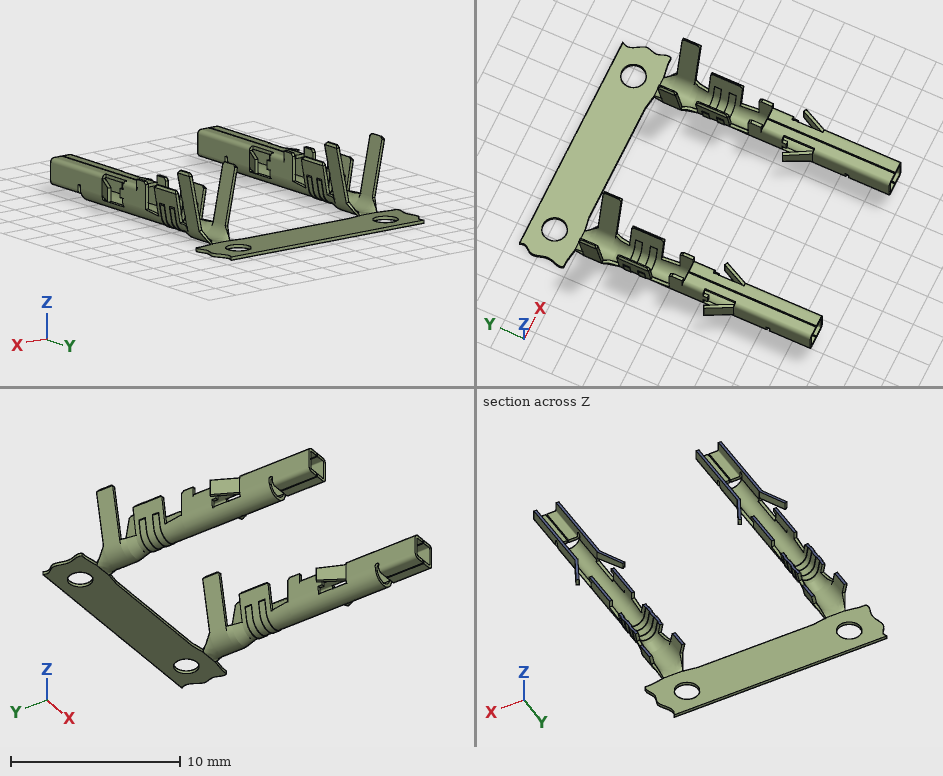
import cadquery as cq
import math


sheet = 0.2
pitch = 11.0
strip_width = 3.01
neck_half = 0.65
neck_station = 3.16
bulge_half = 1.58
pilot_diameter = 1.5
pilot_station = strip_width / 2
left_tear = [
    (-1.97, strip_width), (-2.03, 2.75), (-1.88, 2.23), (-1.85, 1.79),
    (-1.97, 1.28), (-1.97, 0.85), (-1.7, 0.46), (-1.71, 0),
]
right_tear = [
    (1.71, 0), (1.6, 0.55), (1.9, 1.12), (2.0, 1.4),
    (1.86, 2.12), (2.05, 2.75), (2.0, strip_width),
]

box_half = 0.85
insulation_cradle = (1.1, 0, 11.8)
pinch_cradle = (0.91, 0, 0)
conductor_cradle = (0.84, 0.2, 10.0)
box_cradle = (box_half, 0.2, 0)

insulation_start = 3.92
insulation_end = 5.1
insulation_top = 4.5
pinch_station = 5.47
conductor_start = 6.1
conductor_end = 8.18
conductor_top = 2.88
wing_corner = 0.15
wing_bevel = 0.13

serration_starts = (6.44, 7.4)
serration_width = 0.45
serration_depth = 0.04
serration_top = 1.79
serration_ramp = 0.07

box_start = 9.4
box_end = 18.6
box_top = 2.32
box_corner = 0.28
box_floor = 0.67
bore_half = box_half - sheet
trough_axis = box_cradle[1] + box_half
trough_end = 15.72
seam_width = 0.07
ear_end = 10.25
ear_top = 2.73
ear_chamfer = 0.17
notch_width = 0.25
notch_top = 1.26

window_start = 11.6
window_end = 13.6
window_bottom = 0.76
roof_half = box_half - box_corner
lance_length = 1.77
lance_overlap = 0.1
lance_angle = 27.0
lance_bottom = 1.02
lance_top = 2.06
lance_taper = 0.1
stop_length = 0.28
stop_bottom = 1.28
stop_top = 1.85


def section_plane(station):
    """Cross-section plane: local x is X, local y is Z, extrusion runs forward."""
    return cq.Workplane("XZ", origin=(0, -station, 0))


def block(half_width, bottom, top, start, end):
    middle = (bottom + top) / 2
    return section_plane(start).center(0, middle).rect(2 * half_width, top - bottom).extrude(end - start)


def both_sides(solid):
    return solid.union(solid.mirror("YZ"))


def tangent_point(radius, axis, lean):
    """Point on the +X side where an arc about (0, axis) runs into a leaning wall."""
    return radius * math.cos(lean), axis - radius * math.sin(lean)


def mirrored_x(point):
    return -point[0], point[1]


def cradle_ends(shape):
    """Outer and inner ends of a cradle arc on the +X side."""
    radius, bottom, flare = shape
    lean = math.radians(flare)
    axis = bottom + radius
    return tangent_point(radius, axis, lean), tangent_point(radius - sheet, axis, lean)


def cradle_wire(work, shape):
    bottom = shape[1]
    outer, inner = cradle_ends(shape)
    return (
        work.moveTo(*mirrored_x(outer))
        .threePointArc((0, bottom), outer)
        .lineTo(*inner)
        .threePointArc((0, bottom + sheet), mirrored_x(inner))
        .close()
    )


def cradle(start, end, shape):
    return cradle_wire(section_plane(start), shape).extrude(end - start)


def cradle_transition(start, end, start_shape, end_shape):
    work = cradle_wire(section_plane(start), start_shape).workplane(offset=end - start)
    return cradle_wire(work, end_shape).loft(ruled=True)


def neck():
    """Blend from the flat strip into the insulation cradle."""
    flat = section_plane(neck_station).center(0, sheet / 2).rect(2 * neck_half, sheet)
    work = flat.workplane(offset=insulation_start - neck_station).center(0, -sheet / 2)
    return cradle_wire(work, insulation_cradle).loft(ruled=True)


def crimp_wings(start, end, shape, top):
    """Pair of leaning wings with cut corners and a beveled outer tip."""
    lean = math.radians(shape[2])
    outer, inner = cradle_ends(shape)
    length = (top - inner[1]) / math.cos(lean)
    face = cq.Plane(
        origin=(outer[0], 0, outer[1]),
        xDir=(0, -1, 0),
        normal=(-math.cos(lean), 0, math.sin(lean)),
    )
    wing = (
        cq.Workplane(face)
        .moveTo(start, 0)
        .lineTo(end, 0)
        .lineTo(end, length - wing_corner)
        .lineTo(end - wing_corner, length)
        .lineTo(start + wing_corner, length)
        .lineTo(start, length - wing_corner)
        .close()
        .extrude(sheet)
    )
    outer_tip = face.toWorldCoords(((start + end) / 2, length, 0)).toTuple()
    wing = wing.edges(cq.selectors.NearestToPointSelector(outer_tip)).chamfer(wing_bevel)
    return both_sides(wing)


def serration_band(start, surface_radius):
    """U-shaped band reaching one serration depth to each side of a crimp surface."""
    radius, bottom, flare = conductor_cradle
    lean = math.radians(flare)
    axis = bottom + radius
    outer_radius = surface_radius + serration_depth
    inner_radius = surface_radius - serration_depth
    outer = tangent_point(outer_radius, axis, lean)
    inner = tangent_point(inner_radius, axis, lean)

    def tip(base, height):
        return base[0] + (height - base[1]) * math.tan(lean), height

    outer_tip = tip(outer, serration_top - serration_ramp)
    inner_tip = tip(inner, serration_top + serration_ramp)
    return (
        section_plane(start)
        .moveTo(*mirrored_x(outer_tip))
        .lineTo(*mirrored_x(outer))
        .threePointArc((0, axis - outer_radius), outer)
        .lineTo(*outer_tip)
        .lineTo(*inner_tip)
        .lineTo(*inner)
        .threePointArc((0, axis - inner_radius), mirrored_x(inner))
        .lineTo(*mirrored_x(inner_tip))
        .close()
        .extrude(serration_width)
    )


def insulation_crimp():
    crimp = cradle(insulation_start, insulation_end, insulation_cradle)
    return crimp.union(crimp_wings(insulation_start, insulation_end, insulation_cradle, insulation_top))


def conductor_crimp():
    crimp = cradle(conductor_start, conductor_end, conductor_cradle)
    crimp = crimp.union(crimp_wings(conductor_start, conductor_end, conductor_cradle, conductor_top))
    outer_radius = conductor_cradle[0]
    for start in serration_starts:
        crimp = crimp.union(serration_band(start, outer_radius))
        crimp = crimp.cut(serration_band(start, outer_radius - sheet))
    return crimp


def box_entry():
    """Open trough behind the roof, with side walls rising into two ears."""
    length = ear_end - box_start
    trough = cradle(box_start, ear_end, box_cradle)
    ear = (
        section_plane(box_start)
        .center(box_half - sheet / 2, (trough_axis + ear_top) / 2)
        .rect(sheet, ear_top - trough_axis)
        .extrude(length)
        .edges(">Y and >Z")
        .chamfer(ear_chamfer)
    )
    return trough.union(both_sides(ear))


def box_shell():
    """Roofed box: a round trough below, changing to a flat floor at the mating end."""
    outside = block(box_half, box_floor, box_top, ear_end, box_end).edges("|Y").fillet(box_corner)
    bore = block(bore_half, box_floor + sheet, box_top - sheet, ear_end, box_end)
    bore = bore.edges("|Y").fillet(box_corner - sheet)
    below_axis = block(2 * box_half, 0, trough_axis, ear_end, trough_end)
    shell = outside.cut(below_axis).union(cradle(ear_end, trough_end, box_cradle)).cut(bore)

    roof_seam = block(seam_width / 2, box_top - 2 * sheet, box_top, ear_end, box_end)
    floor_seam = block(seam_width / 2, box_floor, box_floor + 2 * sheet, trough_end, box_end)
    return shell.cut(roof_seam).cut(floor_seam).cut(relief_notch())


def relief_notch():
    """Round-topped notch across both walls where the trough meets the flat floor."""
    front = trough_end + notch_width
    shoulder = notch_top - notch_width / 2
    return (
        cq.Workplane("YZ")
        .moveTo(-trough_end, 0)
        .lineTo(-front, 0)
        .lineTo(-front, shoulder)
        .threePointArc((-(trough_end + front) / 2, notch_top), (-trough_end, shoulder))
        .close()
        .extrude(2 * box_half, both=True)
    )


def side_windows():
    """Openings in both walls, reaching in to the flat part of the roof."""
    across = block(2 * box_half, window_bottom, box_top, window_start, window_end)
    return across.cut(block(roof_half, 0, box_top, window_start, window_end))


def window_stop():
    """Small tab in the +X wall plane at the rear of the window."""
    return (
        section_plane(window_start)
        .center(box_half - sheet / 2, (stop_bottom + stop_top) / 2)
        .rect(sheet, stop_top - stop_bottom)
        .extrude(stop_length)
    )


def lance(taper):
    """Tongue on the +X wall, bent outward and pointing rearward."""
    angle = math.radians(lance_angle)
    outer_face = cq.Plane(
        origin=(box_half, -window_end, 0),
        xDir=(math.sin(angle), math.cos(angle), 0),
        normal=(math.cos(angle), -math.sin(angle), 0),
    )
    return (
        cq.Workplane(outer_face)
        .moveTo(-lance_overlap, lance_bottom)
        .lineTo(lance_length, lance_bottom + taper)
        .lineTo(lance_length, lance_top - taper)
        .lineTo(-lance_overlap, lance_top)
        .close()
        .extrude(-sheet)
    )


def terminal(left_taper):
    body = neck()
    body = body.union(insulation_crimp())
    body = body.union(cradle_transition(insulation_end, pinch_station, insulation_cradle, pinch_cradle))
    body = body.union(cradle_transition(pinch_station, conductor_start, pinch_cradle, conductor_cradle))
    body = body.union(conductor_crimp())
    body = body.union(cradle_transition(conductor_end, box_start, conductor_cradle, box_cradle))
    body = body.union(box_entry())
    body = body.union(box_shell().cut(side_windows()))
    body = body.union(both_sides(window_stop()))
    return body.union(lance(lance_taper)).union(lance(left_taper).mirror("YZ"))


def carrier_strip():
    left = [(x, -station) for x, station in left_tear]
    right = [(pitch + x, -station) for x, station in right_tear]
    outline = (
        cq.Workplane("XY")
        .moveTo(*left[0])
        .spline(left[1:], includeCurrent=True)
        .lineTo(*right[0])
        .spline(right[1:], includeCurrent=True)
    )
    for axis in (pitch, 0):
        outline = (
            outline.lineTo(axis + bulge_half, -strip_width)
            .lineTo(axis + neck_half, -neck_station)
            .lineTo(axis - neck_half, -neck_station)
            .lineTo(axis - bulge_half, -strip_width)
        )
    pilots = (
        cq.Workplane("XY")
        .pushPoints([(0, -pilot_station), (pitch, -pilot_station)])
        .circle(pilot_diameter / 2)
        .extrude(sheet)
    )
    return outline.close().extrude(sheet).cut(pilots)


left_terminal = terminal(0)
right_terminal = terminal(lance_taper).translate((pitch, 0, 0))
result = carrier_strip().union(left_terminal).union(right_terminal)